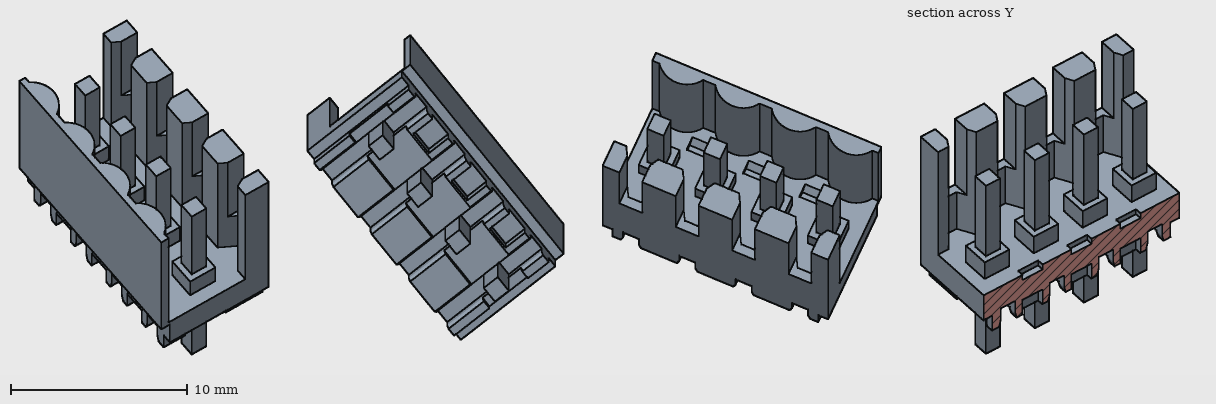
import cadquery as cq

POLES = 4
WIDTH = 14.0
DEPTH = 7.45
HEIGHT = 14.25
PITCH = WIDTH / POLES

FLOOR_Z = 6.3
BASE_BOTTOM_Z = 4.33
BASE_FRONT_Y = 0.6

FOOT_BOTTOM_Z = 3.19
FOOT_INSET = 0.61
RECESS_TOP_Z = 3.7
RECESS_FRONT_Y = 2.11
RECESS_BACK_Y = 4.89
GAP_WIDTH = 1.42

PIN_SIZE = 1.01
PIN_TOP_Z = 13.04
PIN_Y = 3.49

NOTCH_TOP_Z = 4.55
NOTCH_WIDTH = 1.0
FLARE_HEIGHT = 0.45
FLARE_SPREAD = 0.13

BOSS_SIZE = 1.75
BOSS_TOP_Z = 7.58

FRONT_WALL_THICKNESS = 0.41
FRONT_WALL_BOTTOM_Z = 6.03
SCALLOP_PEAK_Y = 1.17
SCALLOP_CHORD = 2.74
END_PAD_Y = 0.51

BACK_WALL_THICKNESS = 1.62
CHANNEL_MOUTH = 1.98
CHANNEL_ROOT = 0.78
CHANNEL_DEPTH = 1.07
SLIT_WIDTH = 1.41
SLIT_BOTTOM_Z = 9.15

POCKET_WIDTH = GAP_WIDTH
POCKET_FRONT_Y = SCALLOP_PEAK_Y
POCKET_RAMP_Y = 1.55
POCKET_BACK_Y = 2.0
POCKET_DEPTH = POCKET_RAMP_Y - POCKET_FRONT_Y

POLE_XS = [(i - (POLES - 1) / 2) * PITCH for i in range(POLES)]
BETWEEN_XS = [x + PITCH / 2 for x in POLE_XS[:-1]]
BACK_WALL_Y = DEPTH - BACK_WALL_THICKNESS


def block(width, y_range, z_range, x=0.0):
    """Box centred on x, spanning the given Y and Z ranges."""
    (y0, y1), (z0, z1) = y_range, z_range
    box = cq.Workplane("XY").box(width, y1 - y0, z1 - z0, centered=(True, False, False))
    return box.translate((x, y0, z0))


def make_base():
    """Base with its foot block and the channel that splits front and back feet."""
    base = block(WIDTH, (BASE_FRONT_Y, DEPTH), (BASE_BOTTOM_Z, FLOOR_Z))
    feet = block(WIDTH - 2 * FOOT_INSET, (BASE_FRONT_Y, DEPTH), (FOOT_BOTTOM_Z, BASE_BOTTOM_Z))
    recess = block(WIDTH, (RECESS_FRONT_Y, RECESS_BACK_Y), (FOOT_BOTTOM_Z, RECESS_TOP_Z))
    return base.union(feet).cut(recess)


def make_front_wall():
    """Thin outer wall that reaches slightly below the floor."""
    wall = block(WIDTH, (0, FRONT_WALL_THICKNESS), (FRONT_WALL_BOTTOM_Z, HEIGHT))
    overhang = block(WIDTH, (0, BASE_FRONT_Y), (FRONT_WALL_BOTTOM_Z, FLOOR_Z))
    return wall.union(overhang)


def make_scallop(x):
    """Rounded rib on the inside of the front wall, facing one pin."""
    half = SCALLOP_CHORD / 2
    return (
        cq.Workplane("XY", origin=(x, 0, FLOOR_Z))
        .moveTo(-half, 0)
        .lineTo(-half, FRONT_WALL_THICKNESS)
        .threePointArc((0, SCALLOP_PEAK_Y), (half, FRONT_WALL_THICKNESS))
        .lineTo(half, 0)
        .close()
        .extrude(HEIGHT - FLOOR_Z)
    )


def make_end_pad():
    """Thicker stretch of the front wall from the last scallop to the +X end."""
    length = WIDTH / 2 - POLE_XS[-1]
    centre = POLE_XS[-1] + length / 2
    return block(length, (0, END_PAD_Y), (FLOOR_Z, HEIGHT), centre)


def make_channel(x):
    """Tapered channel in the back wall with the slit above its ledge."""
    channel = (
        cq.Workplane("XY", origin=(x, BACK_WALL_Y, FLOOR_Z))
        .polyline([
            (-CHANNEL_MOUTH / 2, 0),
            (CHANNEL_MOUTH / 2, 0),
            (CHANNEL_ROOT / 2, CHANNEL_DEPTH),
            (-CHANNEL_ROOT / 2, CHANNEL_DEPTH),
        ])
        .close()
        .extrude(HEIGHT - FLOOR_Z)
    )
    slit = block(SLIT_WIDTH, (BACK_WALL_Y, DEPTH), (SLIT_BOTTOM_Z, HEIGHT), x)
    return channel.union(slit)


def make_notch(x):
    """Slot along Y under one pin, flared at its mouth."""
    half = NOTCH_WIDTH / 2
    mouth = half + FLARE_SPREAD
    flare_top = FOOT_BOTTOM_Z + FLARE_HEIGHT
    return (
        cq.Workplane("XZ", origin=(x, DEPTH, 0))
        .polyline([
            (-mouth, FOOT_BOTTOM_Z),
            (mouth, FOOT_BOTTOM_Z),
            (half, flare_top),
            (half, NOTCH_TOP_Z),
            (-half, NOTCH_TOP_Z),
            (-half, flare_top),
        ])
        .close()
        .extrude(DEPTH)
    )


def make_pocket(x):
    """Blind floor pocket with a flat bottom and a ramp at its front."""
    return (
        cq.Workplane("YZ", origin=(x - POCKET_WIDTH / 2, 0, 0))
        .polyline([
            (POCKET_FRONT_Y, FLOOR_Z),
            (POCKET_RAMP_Y, FLOOR_Z - POCKET_DEPTH),
            (POCKET_BACK_Y, FLOOR_Z - POCKET_DEPTH),
            (POCKET_BACK_Y, FLOOR_Z),
        ])
        .close()
        .extrude(POCKET_WIDTH)
    )


def make_pin(x):
    """Straight square contact pin."""
    half = PIN_SIZE / 2
    return block(PIN_SIZE, (PIN_Y - half, PIN_Y + half), (0, PIN_TOP_Z), x)


def make_housing():
    """Insulating housing with a matching hole for every pin."""
    housing = make_base().union(make_front_wall()).union(make_end_pad())
    housing = housing.union(block(WIDTH, (BACK_WALL_Y, DEPTH), (FLOOR_Z, HEIGHT)))
    boss_y = (PIN_Y - BOSS_SIZE / 2, PIN_Y + BOSS_SIZE / 2)
    for x in POLE_XS:
        housing = housing.union(make_scallop(x))
        housing = housing.union(block(BOSS_SIZE, boss_y, (FLOOR_Z, BOSS_TOP_Z), x))
        housing = housing.cut(make_channel(x))
        housing = housing.cut(make_notch(x))
        housing = housing.cut(make_pin(x))
    for x in BETWEEN_XS:
        housing = housing.cut(make_pocket(x))
        gap = block(GAP_WIDTH, (BASE_FRONT_Y, POCKET_BACK_Y), (FOOT_BOTTOM_Z, BASE_BOTTOM_Z), x)
        housing = housing.cut(gap)
    return housing


housing = make_housing()
pins = [make_pin(x) for x in POLE_XS]

result = cq.Compound.makeCompound([housing.val(), *[pin.val() for pin in pins]])